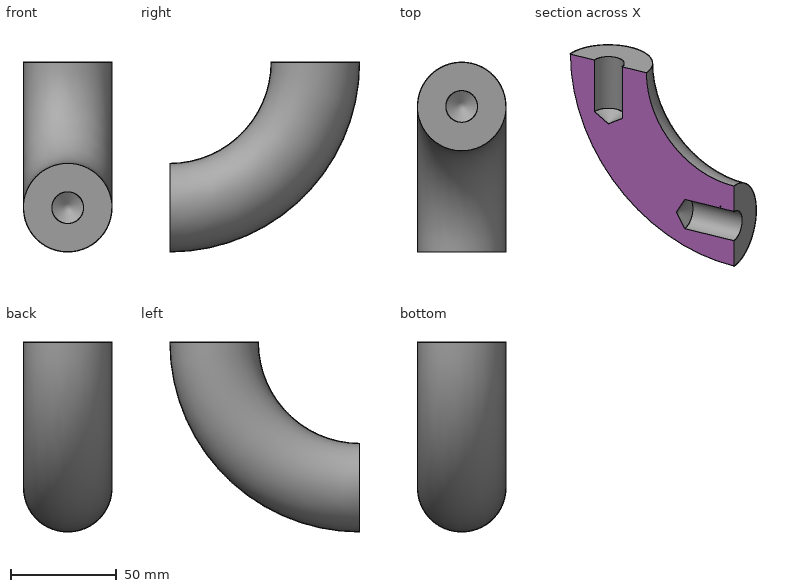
import cadquery as cq
import math

overall_size = 90.0
rod_diameter = 42.0
hole_diameter = 15.0
hole_depth = 27.0
drill_point_angle = 118.0

rod_radius = rod_diameter / 2
hole_radius = hole_diameter / 2
bend_radius = overall_size - rod_radius
point_depth = hole_radius / math.tan(math.radians(drill_point_angle / 2))


def drilled_hole(end_plane):
    """Blind hole with a conical tip, drilled against the plane's normal."""
    bore = cq.Workplane(end_plane).circle(hole_radius).extrude(-hole_depth)
    tip = cq.Solid.makeCone(
        hole_radius,
        0,
        point_depth,
        pnt=end_plane.toWorldCoords((0, 0, -hole_depth)),
        dir=-end_plane.zDir,
    )
    return bore.union(cq.Workplane(tip))


front_end = cq.Plane(origin=(0, 0, 0), xDir=(1, 0, 0), normal=(0, -1, 0))
upper_end = cq.Plane(origin=(0, bend_radius, bend_radius), xDir=(1, 0, 0), normal=(0, 0, 1))

elbow = cq.Workplane(front_end).circle(rod_radius).revolve(
    90, (0, bend_radius, 0), (1, bend_radius, 0)
)

result = elbow.cut(drilled_hole(front_end)).cut(drilled_hole(upper_end))